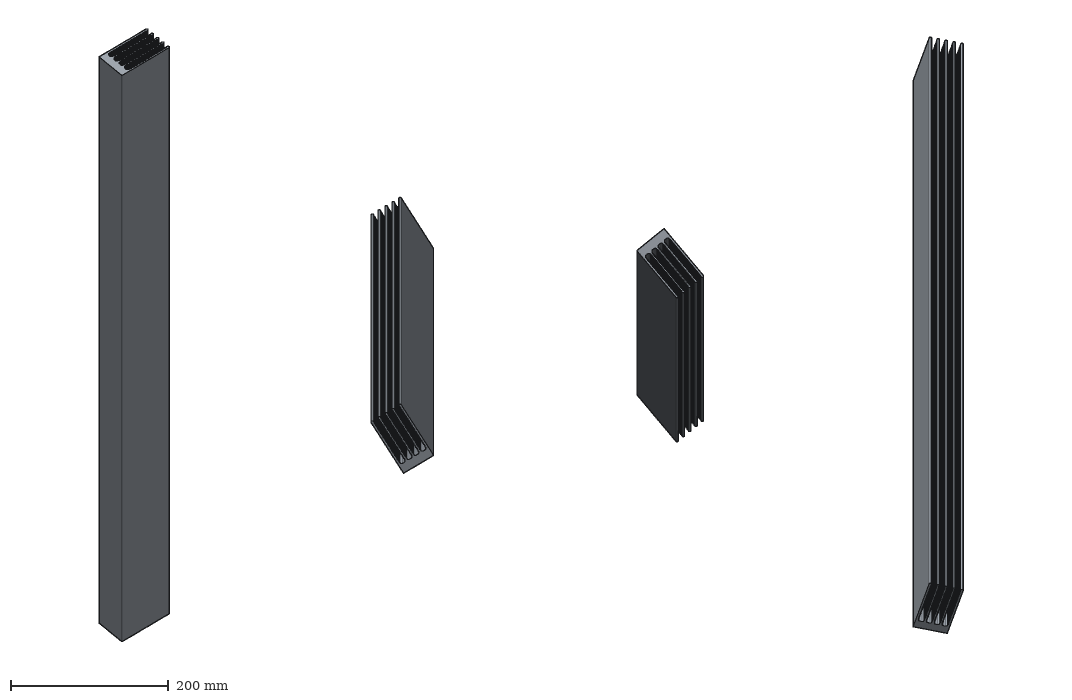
import cadquery as cq

width = 45.0
depth = 80.0
length = 1000.0

base_thickness = 12.0
corner_radius = 0.5

fin_count = 5
fin_thickness = 3.5
tip_radius = 1.7
fin_pitch = (width - fin_thickness) / (fin_count - 1)

channel_count = fin_count - 1
half_channel = (fin_pitch - fin_thickness) / 2
root_radius = 2.0
plain_wall = 3.0
tooth_pitch = 2.0
tooth_depth = 0.6

front_y = -depth / 2
back_y = depth / 2
floor_y = front_y + base_thickness
serration_length = back_y - floor_y - 2 * plain_wall
tooth_count = round(serration_length / tooth_pitch)


def serrated_wall():
    """Points of the +X channel wall, from the floor to the open end."""
    points = [(half_channel, floor_y)]
    for tooth in range(tooth_count):
        start_y = floor_y + plain_wall + tooth * tooth_pitch
        points.append((half_channel, start_y))
        points.append((half_channel + tooth_depth, start_y + tooth_pitch / 2))
    points.append((half_channel, back_y - plain_wall))
    points.append((half_channel, back_y))
    return points


def make_channel():
    """Cutter for one channel, centred on X = 0."""
    wall = serrated_wall()
    opposite_wall = [(-x, y) for x, y in reversed(wall)]
    cutter = (
        cq.Workplane("XY", origin=(0, 0, -length / 2))
        .polyline(wall + opposite_wall)
        .close()
        .extrude(length)
    )
    return cutter.edges("|Z and <Y").fillet(root_radius)


result = cq.Workplane("XY").box(width, depth, length)
channel = make_channel()
for index in range(channel_count):
    channel_x = (index - (channel_count - 1) / 2) * fin_pitch
    result = result.cut(channel.translate((channel_x, 0, 0)))

result = result.edges("|Z and >Y").fillet(tip_radius)
result = result.edges("|Z and <Y").fillet(corner_radius)